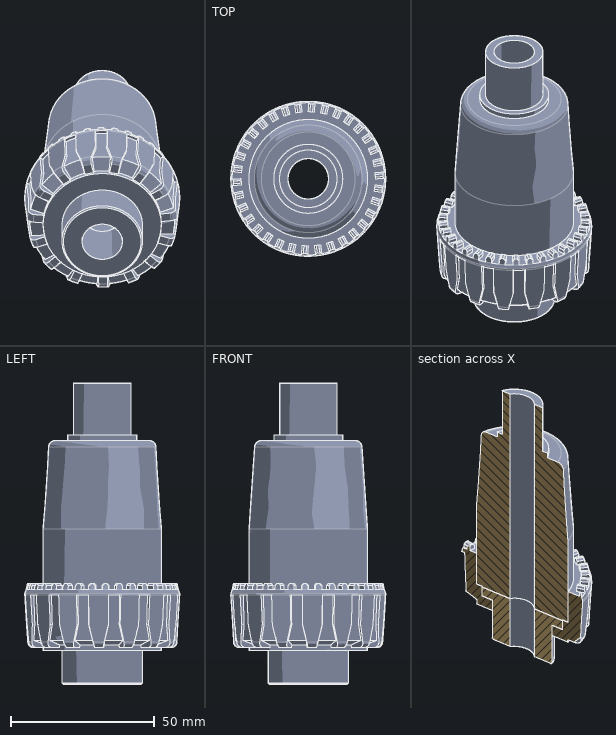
import cadquery as cq

bore_d = 14.0
total_height = 104.7

pipe_d = 28.0
pipe_end_chamfer = 0.5
connector_flange_d = 36.6
connector_flange_bottom = 16.0
connector_flange_top = 20.0

housing_d = 41.27
housing_bottom = connector_flange_top
cone_bottom = 54.0
dome_top = 84.8
dome_top_d = 37.1
dome_fillet = 2.4
collar_d = 24.0
collar_top = 86.7
spigot_d = 20.0

nut_d = 53.9
hub_d = 41.1
hub_bottom = 11.8
rim_bottom = 31.0
rim_edge = 31.65
nut_top = 32.95
nut_top_d = 52.9
valley_top_depth = 1.15
valley_low_depth = 0.75
valley_bottom = 13.7
valley_slope_height = 1.6

rib_count = 15
rib_phase = 9.2
rib_bottom = 12.8
rib_bottom_fillet = 2.0
rib_taper_start = 20.9
rib_width = 6.9
rib_bottom_width = 3.0
rib_draft = 1.1

tooth_count = 34
tooth_phase = 360 / tooth_count / 4
tooth_top = 35.1
tooth_inner_r = 23.3
tooth_top_outer_r = 26.0
tooth_width = 2.2
tooth_chamfer_width = 0.65
tooth_chamfer_height = 0.75


def revolve_profile(points):
    """Turn a closed (radius, height) outline about Z."""
    return cq.Workplane("XZ").polyline(points).close().revolve(360, (0, 0), (0, 1))


def cylinder(diameter, bottom, top):
    return cq.Workplane("XY", origin=(0, 0, bottom)).circle(diameter / 2).extrude(top - bottom)


def ring(outer_d, inner_d, bottom, top):
    return cylinder(outer_d, bottom, top).cut(cylinder(inner_d, bottom, top))


def make_connector():
    pipe = ring(pipe_d, bore_d, 0, connector_flange_top)
    outer_edge = cq.selectors.RadiusNthSelector(-1)
    pipe = pipe.faces("<Z").edges(outer_edge).chamfer(pipe_end_chamfer)
    flange = ring(connector_flange_d, pipe_d, connector_flange_bottom, connector_flange_top)
    return pipe.union(flange)


def make_housing():
    barrel = revolve_profile([
        (0, housing_bottom),
        (housing_d / 2, housing_bottom),
        (housing_d / 2, cone_bottom),
        (dome_top_d / 2, dome_top),
        (0, dome_top),
    ])
    barrel = barrel.faces(">Z").edges().fillet(dome_fillet)
    collar = cylinder(collar_d, dome_top, collar_top)
    spigot = cylinder(spigot_d, collar_top, total_height)
    bore = cylinder(bore_d, housing_bottom, total_height)
    return barrel.union(collar).union(spigot).cut(bore)


def rib_face_radius(height):
    """Radius of the slightly conical surface that carries the outer rib faces."""
    draft_slope = rib_draft / (rim_bottom - rib_bottom)
    return nut_d / 2 - draft_slope * (rim_bottom - height)


def make_nut_core():
    """Solid nut body: hub, sloping underside, valleys between the ribs and rim."""
    slope_top = valley_bottom + valley_slope_height
    valley_top_r = rib_face_radius(rim_bottom) - valley_top_depth
    valley_low_r = rib_face_radius(slope_top) - valley_low_depth
    return revolve_profile([
        (0, hub_bottom),
        (hub_d / 2, hub_bottom),
        (hub_d / 2, valley_bottom),
        (valley_low_r, slope_top),
        (valley_top_r, rim_bottom),
        (nut_d / 2, rim_bottom),
        (nut_d / 2, rim_edge),
        (nut_top_d / 2, nut_top),
        (0, nut_top),
    ])


def make_rib():
    """One grip rib along +X: a tapering bar trimmed by the conical rib surface."""
    envelope = revolve_profile([
        (0, rib_bottom),
        (rib_face_radius(rib_bottom), rib_bottom),
        (rib_face_radius(rim_bottom), rim_bottom),
        (0, rim_bottom),
    ])
    envelope = envelope.faces("<Z").edges().fillet(rib_bottom_fillet)
    bar = (
        cq.Workplane("YZ")
        .moveTo(-rib_bottom_width / 2, rib_bottom)
        .lineTo(rib_bottom_width / 2, rib_bottom)
        .lineTo(rib_width / 2, rib_taper_start)
        .lineTo(rib_width / 2, rim_bottom)
        .lineTo(-rib_width / 2, rim_bottom)
        .lineTo(-rib_width / 2, rib_taper_start)
        .close()
        .extrude(nut_d)
    )
    inner_space = cylinder(hub_d, hub_bottom, nut_top)
    return bar.intersect(envelope).cut(inner_space)


def make_tooth():
    """One crown tooth along +X: a bar with chamfered top edges and a leaning outer end."""
    shoulder = tooth_top - tooth_chamfer_height
    half = tooth_width / 2
    top_half = half - tooth_chamfer_width
    bar = (
        cq.Workplane("YZ", origin=(tooth_inner_r, 0, 0))
        .polyline([
            (-half, nut_top),
            (half, nut_top),
            (half, shoulder),
            (top_half, tooth_top),
            (-top_half, tooth_top),
            (-half, shoulder),
        ])
        .close()
        .extrude(nut_d)
    )
    envelope = revolve_profile([
        (0, nut_top),
        (nut_top_d / 2, nut_top),
        (tooth_top_outer_r, tooth_top),
        (0, tooth_top),
    ])
    return bar.intersect(envelope)


def copies_around(feature, count, phase):
    """Copies of one feature, evenly spaced about Z."""
    axis_start, axis_end = (0, 0, 0), (0, 0, 1)
    angles = [phase + i * 360 / count for i in range(count)]
    return [feature.rotate(axis_start, axis_end, angle).val() for angle in angles]


def make_nut():
    ribs = copies_around(make_rib(), rib_count, rib_phase)
    teeth = copies_around(make_tooth(), tooth_count, tooth_phase)
    nut = cq.Workplane(make_nut_core().val().fuse(*ribs, *teeth))
    pipe_hole = cylinder(pipe_d, hub_bottom, connector_flange_bottom)
    flange_recess = cylinder(connector_flange_d, connector_flange_bottom, housing_bottom)
    housing_recess = cylinder(housing_d, housing_bottom, tooth_top)
    return nut.cut(pipe_hole).cut(flange_recess).cut(housing_recess)


connector = make_connector()
housing = make_housing()
nut = make_nut()

result = cq.Compound.makeCompound([connector.val(), housing.val(), nut.val()])